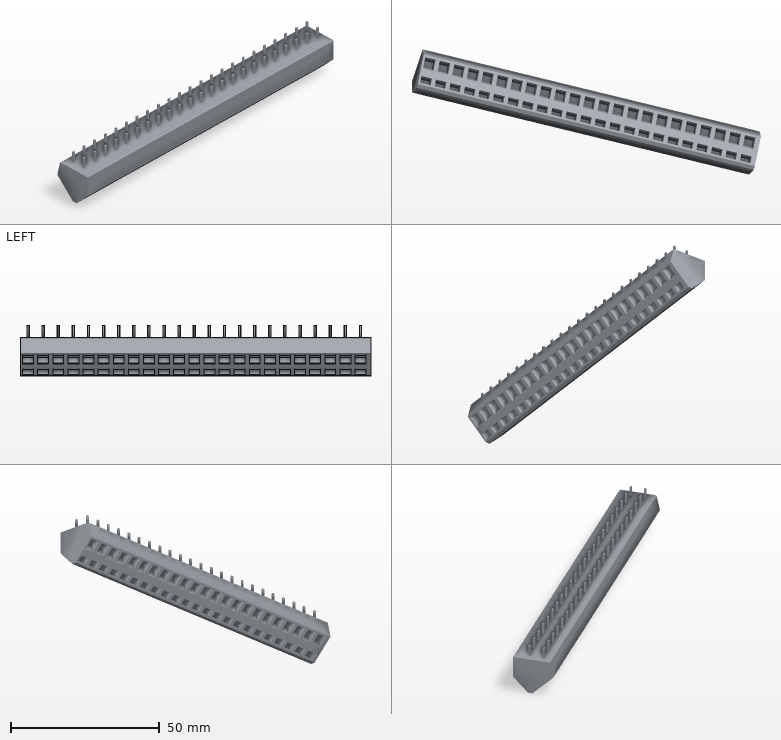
import cadquery as cq
import math

length = 117.8
width = 14.3
total_height = 17.0
pin_length = 4.0
body_height = total_height - pin_length

left_corner_x = -0.02
left_corner_height = 7.4
top_left_inset = 1.3
right_corner_height = 5.3
edge_radius = 0.27
flat_left = left_corner_x + left_corner_height
flat_right = width - right_corner_height

pole_count = 23
end_wall = 1.0
pole_pitch = (length - end_wall) / pole_count
first_pole_y = length - pole_pitch / 2

pin_thickness = 0.6
pin_width = 0.8
pin_row_x = 4.1
pin_row_count = 2
pin_row_spacing = pole_pitch

opening_width = 3.7
opening_depth = 4.7
slot_lower_rim = 0.5
slot_upper_rim = 2.1
entry_lower_rim = 4.0
entry_upper_rim = 6.8

lead_in_start = 0.5
lead_in_end = 2.1
lead_in_rise = 1.0


def extrude_along_y(points, y_start, distance):
    """Solid with an X-Z outline, running from y_start towards +Y."""
    plane = cq.Plane(origin=(0, y_start, 0), xDir=(1, 0, 0), normal=(0, -1, 0))
    return cq.Workplane(plane).polyline(points).close().extrude(-distance)


def flank_point(rim_height, rise, depth):
    """X-Z point from a height on the left flank, moved up along it and square into the body."""
    x = flat_left - rim_height + (depth - rise) * math.sqrt(0.5)
    z = rim_height + (depth + rise) * math.sqrt(0.5)
    return (x, z)


def make_body():
    outline = [
        (top_left_inset, body_height),
        (left_corner_x, left_corner_height),
        (flat_left, 0),
        (flat_right, 0),
        (width, right_corner_height),
        (width, body_height),
    ]
    return extrude_along_y(outline, 0, length).edges("|Y").fillet(edge_radius)


def make_slot(pole_y):
    outline = [
        flank_point(slot_lower_rim, 0, 0),
        flank_point(slot_lower_rim, 0, opening_depth),
        flank_point(slot_upper_rim, 0, opening_depth),
        flank_point(slot_upper_rim, 0, 0),
    ]
    return extrude_along_y(outline, pole_y - opening_width / 2, opening_width)


def make_wire_entry(pole_y):
    outline = [
        flank_point(entry_lower_rim, 0, 0),
        flank_point(entry_lower_rim, 0, lead_in_start),
        flank_point(entry_lower_rim, lead_in_rise, lead_in_end),
        flank_point(entry_lower_rim, lead_in_rise, opening_depth),
        flank_point(entry_upper_rim, 0, opening_depth),
        flank_point(entry_upper_rim, 0, 0),
    ]
    return extrude_along_y(outline, pole_y - opening_width / 2, opening_width)


poles_y = [first_pole_y - pole * pole_pitch for pole in range(pole_count)]

openings = [make_slot(y).val() for y in poles_y] + [make_wire_entry(y).val() for y in poles_y]
body = make_body().cut(cq.Compound.makeCompound(openings))

pin_positions = [(pin_row_x + row * pin_row_spacing, y) for row in range(pin_row_count) for y in poles_y]
result = (
    body.faces(">Z")
    .workplane(origin=(0, 0, body_height))
    .pushPoints(pin_positions)
    .rect(pin_thickness, pin_width)
    .extrude(pin_length)
)